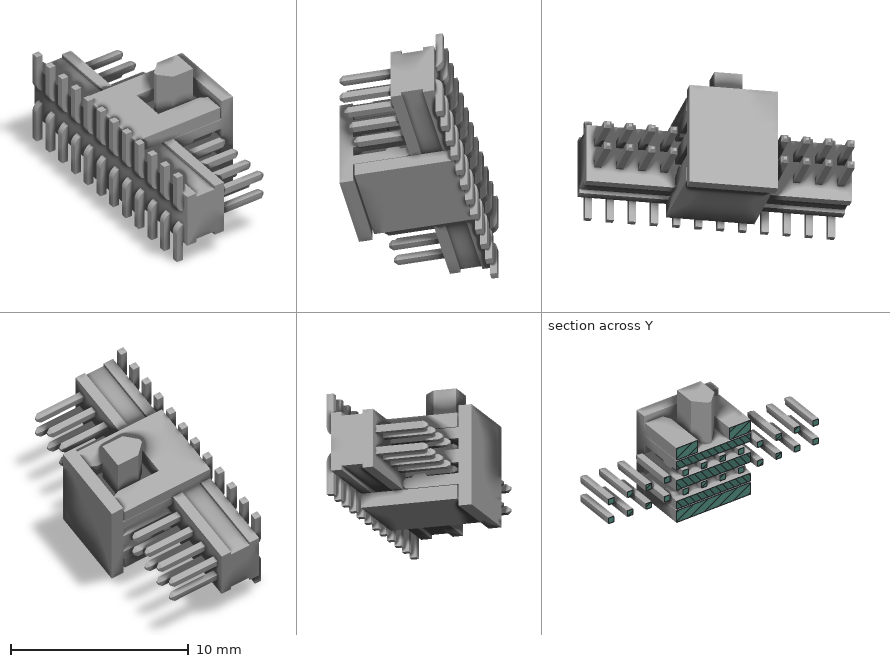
import cadquery as cq
import math


PIN_COUNT = 12
LENGTH = 15.24
PITCH = LENGTH / PIN_COUNT
ROW_Z = PITCH / 2
PIN_SIDE = 0.41
BEND_RADIUS = 0.6
LEG_END_Z = 2.93
PIN_SHOULDER_Y = 5.35
TIP_LENGTH = 0.21
TIP_INSET = 0.12

HOUSING_DEPTH = 2.5
HOUSING_HALF_HEIGHT = 1.69
GROOVE_WIDTH = HOUSING_DEPTH / 2
GROOVE_DEPTH = 0.23

PLATE_WIDTH = 4 * PITCH
PLATE_THICKNESS = 0.82
PLATE_END_Y = 5.72
SLOT_HALF_WIDTH = 1.08
SLOT_MOUTH_HALF_WIDTH = 1.33
SLOT_FLARE_LENGTH = 0.47

CAP_BACK_Y = 6.58
CAP_WALL = 0.78
CAP_HALF_HEIGHT = LEG_END_Z
PRONG_TIP_Y = HOUSING_DEPTH
PRONG_TIP_RADIUS = 0.3
MIDDLE_PRONG_HALF_HEIGHT = 0.38
OUTER_PRONG_INNER_Z = 1.02
OUTER_PRONG_OUTER_Z = 1.66
BUMP_CENTRE_Y = 3.49
BUMP_BASE_LENGTH = 0.9
BUMP_CREST_LENGTH = 0.61
POST_TOP_Z = 4.45
POST_HALF_WIDTH = 0.81
POST_BACK_Y = 5.06
POST_FRONT_Y = 3.02
POST_NOSE_HALF_WIDTH = 0.12


def box(x_limits, y_limits, z_limits):
    """Axis-aligned box between the given limits."""
    sizes = [high - low for low, high in (x_limits, y_limits, z_limits)]
    corner = (x_limits[0], y_limits[0], z_limits[0])
    return cq.Workplane("XY").box(*sizes, centered=False).translate(corner)


def mirrored_in_z(shape):
    return shape.mirror("XY")




def bent_pin(x):
    """Upper-row pin at x: straight contact with a tapered tip, bend and upright leg."""
    low = ROW_Z - PIN_SIDE / 2
    high = ROW_Z + PIN_SIDE / 2
    half = PIN_SIDE / 2
    inner_radius = BEND_RADIUS - PIN_SIDE
    diagonal = math.sqrt(0.5)
    bend_y = inner_radius
    bend_z = low + BEND_RADIUS
    bar = (
        cq.Workplane("YZ")
        .moveTo(PIN_SHOULDER_Y, low)
        .lineTo(bend_y, low)
        .threePointArc(
            (bend_y - BEND_RADIUS * diagonal, bend_z - BEND_RADIUS * diagonal),
            (-PIN_SIDE, bend_z),
        )
        .lineTo(-PIN_SIDE, LEG_END_Z)
        .lineTo(0, LEG_END_Z)
        .lineTo(0, bend_z)
        .threePointArc(
            (bend_y - inner_radius * diagonal, bend_z - inner_radius * diagonal),
            (bend_y, high),
        )
        .lineTo(PIN_SHOULDER_Y, high)
        .close()
        .extrude(half, both=True)
    )
    tip = (
        cq.Workplane("XZ", origin=(0, PIN_SHOULDER_Y, ROW_Z))
        .rect(PIN_SIDE, PIN_SIDE)
        .extrude(-TIP_LENGTH, taper=math.degrees(math.atan(TIP_INSET / TIP_LENGTH)))
    )
    return bar.union(tip).translate((x, 0, 0))


def top_groove():
    """Groove along the full length of the top of the housing block, centred in its depth."""
    y_start = (HOUSING_DEPTH - GROOVE_WIDTH) / 2
    return box(
        (-LENGTH / 2, LENGTH / 2),
        (y_start, y_start + GROOVE_WIDTH),
        (HOUSING_HALF_HEIGHT - GROOVE_DEPTH, HOUSING_HALF_HEIGHT),
    )


def guide_plate():
    """Upper guide plate, reaching back over the cap."""
    return box(
        (-PLATE_WIDTH / 2, PLATE_WIDTH / 2),
        (0, PLATE_END_Y),
        (HOUSING_HALF_HEIGHT, HOUSING_HALF_HEIGHT + PLATE_THICKNESS),
    )


def key_slot():
    """Slot with a flared mouth that lets the post slide into the upper guide plate."""
    flare_y = PLATE_END_Y - SLOT_FLARE_LENGTH
    return (
        cq.Workplane("XY", origin=(0, 0, HOUSING_HALF_HEIGHT))
        .polyline(
            [
                (-SLOT_HALF_WIDTH, HOUSING_DEPTH),
                (SLOT_HALF_WIDTH, HOUSING_DEPTH),
                (SLOT_HALF_WIDTH, flare_y),
                (SLOT_MOUTH_HALF_WIDTH, PLATE_END_Y),
                (-SLOT_MOUTH_HALF_WIDTH, PLATE_END_Y),
                (-SLOT_HALF_WIDTH, flare_y),
            ]
        )
        .close()
        .extrude(PLATE_THICKNESS)
    )


def make_housing():
    """Block with its grooves, guide plates and pins."""
    block = box(
        (-LENGTH / 2, LENGTH / 2),
        (0, HOUSING_DEPTH),
        (-HOUSING_HALF_HEIGHT, HOUSING_HALF_HEIGHT),
    )
    groove = top_groove()
    body = block.cut(groove).cut(mirrored_in_z(groove))
    plate = guide_plate()
    body = body.union(plate.cut(key_slot())).union(mirrored_in_z(plate))
    for i in range(PIN_COUNT):
        pin = bent_pin((i - (PIN_COUNT - 1) / 2) * PITCH)
        body = body.union(pin).union(mirrored_in_z(pin))
    return body




def prong(z_limits):
    """Full-width prong with rounded tip edges."""
    bar = box(
        (-PLATE_WIDTH / 2, PLATE_WIDTH / 2),
        (PRONG_TIP_Y, CAP_BACK_Y),
        z_limits,
    )
    return bar.faces("<Y").edges("|X").fillet(PRONG_TIP_RADIUS)


def contact_bump():
    """Ridge with sloping flanks under the upper prong, resting on the upper pin row."""
    pin_top_z = ROW_Z + PIN_SIDE / 2
    half_base = BUMP_BASE_LENGTH / 2
    half_crest = BUMP_CREST_LENGTH / 2
    return (
        cq.Workplane("YZ")
        .polyline(
            [
                (BUMP_CENTRE_Y - half_base, OUTER_PRONG_INNER_Z),
                (BUMP_CENTRE_Y - half_crest, pin_top_z),
                (BUMP_CENTRE_Y + half_crest, pin_top_z),
                (BUMP_CENTRE_Y + half_base, OUTER_PRONG_INNER_Z),
            ]
        )
        .close()
        .extrude(PLATE_WIDTH / 2, both=True)
    )


def key_post():
    """Upright post with a blunt 45-degree nose, standing on the upper prong."""
    shoulder_y = POST_FRONT_Y + POST_HALF_WIDTH - POST_NOSE_HALF_WIDTH
    return (
        cq.Workplane("XY", origin=(0, 0, OUTER_PRONG_OUTER_Z))
        .polyline(
            [
                (-POST_NOSE_HALF_WIDTH, POST_FRONT_Y),
                (POST_NOSE_HALF_WIDTH, POST_FRONT_Y),
                (POST_HALF_WIDTH, shoulder_y),
                (POST_HALF_WIDTH, POST_BACK_Y),
                (-POST_HALF_WIDTH, POST_BACK_Y),
                (-POST_HALF_WIDTH, shoulder_y),
            ]
        )
        .close()
        .extrude(POST_TOP_Z - OUTER_PRONG_OUTER_Z)
    )


def make_cap():
    """Wall with three prongs, the contact bumps and the post."""
    wall = box(
        (-PLATE_WIDTH / 2, PLATE_WIDTH / 2),
        (CAP_BACK_Y - CAP_WALL, CAP_BACK_Y),
        (-CAP_HALF_HEIGHT, CAP_HALF_HEIGHT),
    )
    middle_prong = prong((-MIDDLE_PRONG_HALF_HEIGHT, MIDDLE_PRONG_HALF_HEIGHT))
    outer_prong = prong((OUTER_PRONG_INNER_Z, OUTER_PRONG_OUTER_Z)).union(contact_bump())
    body = wall.union(middle_prong)
    body = body.union(outer_prong).union(mirrored_in_z(outer_prong))
    return body.union(key_post())


cap = make_cap()
housing = make_housing()

result = cq.Compound.makeCompound([housing.solids().val(), cap.solids().val()])